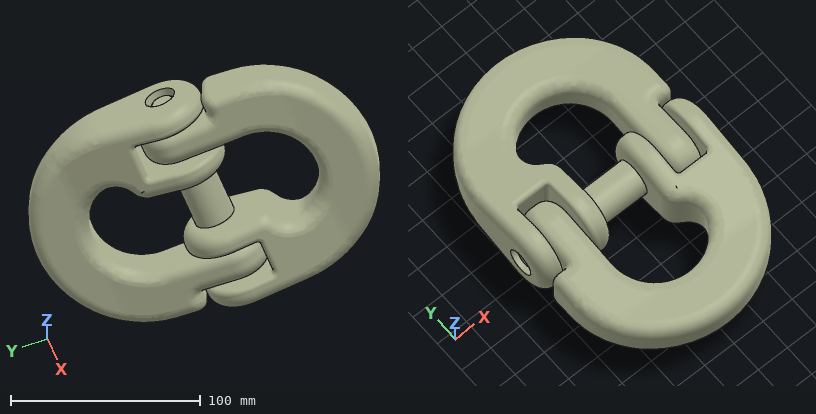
import cadquery as cq
import math

link_end_y = 95.0
crown_radius = 64.6
overall_width = 125.5
fork_side_x = -overall_width / 2
fork_side_y = 34.0
shoulder_side_x = 60.6
shoulder_side_y = 39.0
shoulder_y = 20.9
shoulder_corner = 5.0
shoulder_root = 1.0
tongue_x_min = 28.7
tongue_x_max = 49.2
fork_inner_x = -14.8
slot_x_min = -49.4
slot_x_max = -28.3
slot_end_y = 19.8
slot_corner = 2.0
window_radius = 28.7
window_y = 34.0
throat_radius = 11.4
throat_angle = 152.0
knuckle_radius = 10.0

half_thickness = 12.4
taper_start_y = 64.8
taper_blend = 30.4
overall_height = 45.0
fork_eye_radius = overall_height / 2
fork_eye_y = 1.9
tongue_eye_radius = 17.3
tongue_eye_y = -2.3

edge_round = 8.0
slot_round = 3.0

pin_diameter = 15.0
hole_diameter = 16.5
sleeve_diameter = 22.0
sleeve_length = 29.5
pin_recess = 2.8
pin_chamfer = 1.9

margin = 9.5
edge_search = 0.2


def point_at(centre, radius, angle):
    """Point on a circle at an angle in radians."""
    return (centre[0] + radius * math.cos(angle), centre[1] + radius * math.sin(angle))


def side_arc(side_x, side_y):
    """Arc that leaves the straight side at (side_x, side_y) and runs tangentially into the crown arc.

    Returns its middle point and the point where it meets the crown arc.
    """
    crown_y = link_end_y - crown_radius
    reach = abs(side_x)
    rise = side_y - crown_y
    radius = (crown_radius**2 - reach**2 - rise**2) / (2 * (crown_radius - reach))
    centre = (math.copysign(reach - radius, side_x), side_y)
    meet_angle = math.atan2(rise, centre[0])
    side_angle = 0 if side_x > 0 else math.pi
    middle = point_at(centre, radius, (meet_angle + side_angle) / 2)
    return middle, point_at(centre, radius, meet_angle)


def link_outline():
    """Flat outline of a link, with the fork still closed and both ends overlong."""
    crown = (0, link_end_y)
    right_middle, right_meet = side_arc(shoulder_side_x, shoulder_side_y)
    left_middle, left_meet = side_arc(fork_side_x, fork_side_y)
    crown_y = link_end_y - crown_radius
    crown_middles = []
    for meet in (right_meet, left_meet):
        angle = (math.pi / 2 + math.atan2(meet[1] - crown_y, meet[0])) / 2
        crown_middles.append(point_at((0, crown_y), crown_radius, angle))

    window = (0, window_y)
    throat_turn = math.radians(throat_angle)
    throat = point_at(window, window_radius - throat_radius, throat_turn)
    knuckle_x = fork_inner_x - knuckle_radius
    knuckle_drop = math.sqrt((throat_radius + knuckle_radius) ** 2 - (throat[0] - knuckle_x) ** 2)
    knuckle = (knuckle_x, throat[1] - knuckle_drop)
    knuckle_turn = math.atan2(knuckle_drop, throat[0] - knuckle_x)
    throat_middle_turn = (throat_turn + knuckle_turn + math.pi) / 2

    end_y = -fork_eye_radius - margin
    return (
        cq.Workplane("XY", origin=(0, 0, -fork_eye_radius - margin))
        .moveTo(*crown)
        .threePointArc(crown_middles[0], right_meet)
        .threePointArc(right_middle, (shoulder_side_x, shoulder_side_y))
        .lineTo(shoulder_side_x, shoulder_y)
        .lineTo(tongue_x_max, shoulder_y)
        .lineTo(tongue_x_max, end_y)
        .lineTo(tongue_x_min, end_y)
        .lineTo(tongue_x_min, window_y)
        .threePointArc(
            point_at(window, window_radius, throat_turn / 2),
            point_at(window, window_radius, throat_turn),
        )
        .threePointArc(
            point_at(throat, throat_radius, throat_middle_turn),
            point_at(knuckle, knuckle_radius, knuckle_turn),
        )
        .threePointArc(point_at(knuckle, knuckle_radius, knuckle_turn / 2), (fork_inner_x, knuckle[1]))
        .lineTo(fork_inner_x, end_y)
        .lineTo(fork_side_x, end_y)
        .lineTo(fork_side_x, fork_side_y)
        .threePointArc(left_middle, left_meet)
        .threePointArc(crown_middles[1], crown)
        .close()
    )


def side_profile(eye_radius, eye_y, start_x, length):
    """Prism along X with the thickness profile of a link: flat at the crown, tapering up to a round eye."""
    blend_centre = (taper_start_y, half_thickness + taper_blend)
    run = blend_centre[0] - eye_y
    climb = blend_centre[1]
    slope = math.asin((eye_radius + taper_blend) / math.hypot(run, climb)) - math.atan2(climb, run)
    eye_tangent = point_at((eye_y, 0), eye_radius, math.pi / 2 - slope)
    blend_tangent = point_at(blend_centre, taper_blend, -math.pi / 2 - slope)
    blend_middle = point_at(blend_centre, taper_blend, -math.pi / 2 - slope / 2)
    far_y = link_end_y + margin
    return (
        cq.Workplane("YZ", origin=(start_x, 0, 0))
        .moveTo(far_y, half_thickness)
        .lineTo(taper_start_y, half_thickness)
        .threePointArc(blend_middle, blend_tangent)
        .lineTo(*eye_tangent)
        .threePointArc((eye_y - eye_radius, 0), (eye_tangent[0], -eye_tangent[1]))
        .lineTo(blend_tangent[0], -blend_tangent[1])
        .threePointArc((blend_middle[0], -blend_middle[1]), (taper_start_y, -half_thickness))
        .lineTo(far_y, -half_thickness)
        .close()
        .extrude(length)
    )


def link_blank():
    """Link body with sharp edges, before the fork is slotted."""
    plate = link_outline().extrude(2 * (fork_eye_radius + margin))
    width = -fork_side_x + margin
    fork = side_profile(fork_eye_radius, fork_eye_y, -width, width)
    tongue = side_profile(tongue_eye_radius, tongue_eye_y, 0, width)
    return plate.intersect(fork).union(plate.intersect(tongue)).clean()


def round_outside(blank):
    """Round the shoulder corners, then every edge along the top and bottom of the link."""
    corner = cq.selectors.NearestToPointSelector((shoulder_side_x, shoulder_y, 0))
    root = cq.selectors.NearestToPointSelector((tongue_x_max, shoulder_y, 0))
    link = blank.edges("|Z").edges(corner).fillet(shoulder_corner)
    link = link.edges("|Z").edges(root).fillet(shoulder_root)
    crosswise_edges = link.edges("|X")
    step_edges = [edge for edge in crosswise_edges.vals() if abs(edge.Center().y - shoulder_y) < edge_search]
    rim_edges = link.edges("not(|Z)").edges("not(|X)").vals()
    return link.newObject(rim_edges + step_edges).fillet(edge_round)


def cut_slot(link):
    """Open the fork and round the rim of its slot."""
    length = slot_end_y + fork_eye_radius + margin
    height = 2 * (fork_eye_radius + margin)
    slot = (
        cq.Workplane("XY")
        .box(slot_x_max - slot_x_min, length, height)
        .edges("|Z and >Y")
        .fillet(slot_corner)
        .translate(((slot_x_min + slot_x_max) / 2, slot_end_y - length / 2, 0))
    )
    rim_box = cq.selectors.BoxSelector(
        (slot_x_min - edge_search, slot_end_y - length, -height / 2),
        (slot_x_max + edge_search, slot_end_y + edge_search, height / 2),
    )
    return link.cut(slot).edges(rim_box).edges("not(|Z)").fillet(slot_round)


def cylinder_x(diameter, length):
    """Cylinder along the X axis, centred on the origin."""
    return cq.Workplane("YZ", origin=(-length / 2, 0, 0)).circle(diameter / 2).extrude(length)


def make_link():
    """Half link: a fork on one side, a tongue on the other, and a pin hole through both."""
    link = cut_slot(round_outside(link_blank()))
    return link.cut(cylinder_x(hole_diameter, 2 * (margin - fork_side_x)))


def make_pin():
    """Load pin with chamfered ends, sunk into the outer fork arms."""
    return cylinder_x(pin_diameter, 2 * (-fork_side_x - pin_recess)).faces("<X or >X").chamfer(pin_chamfer)


def make_sleeve():
    """Sleeve on the pin, between the two forks."""
    return cylinder_x(sleeve_diameter, sleeve_length).cut(cylinder_x(pin_diameter, sleeve_length))


links = [make_link().rotate((0, 0, 0), (0, 0, 1), turn) for turn in (0, 180)]
pin = make_pin()
sleeve = make_sleeve()

result = cq.Compound.makeCompound([*(link.val() for link in links), pin.val(), sleeve.val()])